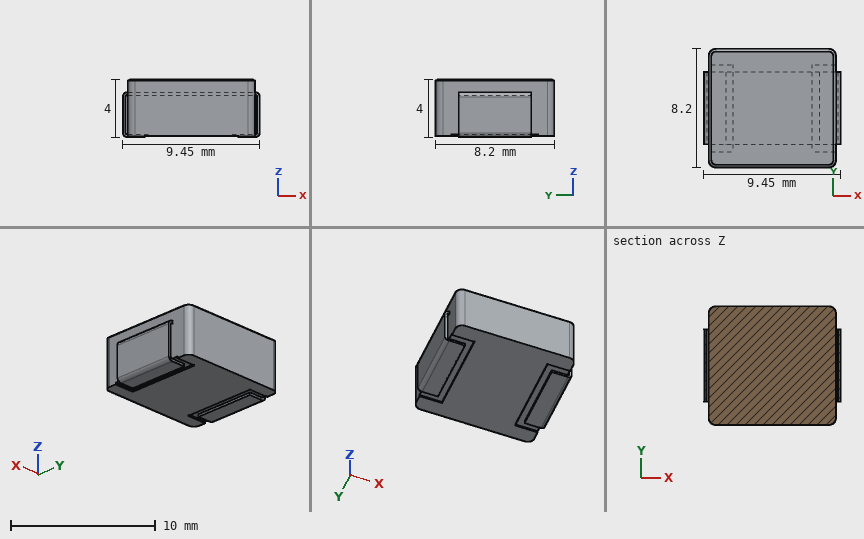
import cadquery as cq

LENGTH = 9.45
HEIGHT = 4.0

HOUSING_LENGTH = 8.8
HOUSING_WIDTH = 8.2
STANDOFF = 0.071
CORNER_RADIUS = 0.5
CHAMFER_INSET = 0.2
CHAMFER_DROP = 0.1

STRIP_THICKNESS = 0.2
STRIP_WIDTH = 5.0
STRIP_TOP = 3.1
BEND_RADIUS = 0.3
FOOT_LENGTH = 1.5

RECESS_CLEARANCE = 0.5

foot_tip_x = LENGTH / 2 - FOOT_LENGTH
inner_bend_radius = BEND_RADIUS - STRIP_THICKNESS


def box_between(x_min, x_max, width, z_min, z_max):
    """Box centred on Y = 0 between the given X and Z limits."""
    box = cq.Workplane("XY").box(x_max - x_min, width, z_max - z_min, centered=(False, True, False))
    return box.translate((x_min, 0, z_min))


def make_lead_frame():
    """Flat strip folded into a ring that is open underneath, between the two feet."""
    outer = box_between(-LENGTH / 2, LENGTH / 2, STRIP_WIDTH, 0, STRIP_TOP)
    outer = outer.edges("|Y").fillet(BEND_RADIUS)

    inner_end = LENGTH / 2 - STRIP_THICKNESS
    inner = box_between(-inner_end, inner_end, STRIP_WIDTH, STRIP_THICKNESS, STRIP_TOP - STRIP_THICKNESS)
    inner = inner.edges("|Y").fillet(inner_bend_radius)

    foot_gap = box_between(-foot_tip_x, foot_tip_x, STRIP_WIDTH, 0, STRIP_THICKNESS)
    return outer.cut(inner).cut(foot_gap)


def make_housing_block():
    """Rounded block with a shallow chamfer around its top face."""
    block = box_between(-HOUSING_LENGTH / 2, HOUSING_LENGTH / 2, HOUSING_WIDTH, STANDOFF, HEIGHT)
    block = block.edges("|Z").fillet(CORNER_RADIUS)
    return block.faces(">Z").chamfer(CHAMFER_DROP, CHAMFER_INSET)


def make_foot_recess():
    """Recess for the +X foot, open to the end wall and the underside."""
    recess_width = STRIP_WIDTH + 2 * RECESS_CLEARANCE
    recess_inner_x = foot_tip_x - RECESS_CLEARANCE
    return box_between(recess_inner_x, HOUSING_LENGTH / 2, recess_width, STANDOFF, STRIP_THICKNESS)


def make_housing():
    """Housing with a recess for each foot and a slot for the strip."""
    recess = make_foot_recess()
    strip_slot = box_between(
        -HOUSING_LENGTH / 2, HOUSING_LENGTH / 2, STRIP_WIDTH, STRIP_TOP - STRIP_THICKNESS, STRIP_TOP
    )
    return make_housing_block().cut(recess).cut(recess.mirror("YZ")).cut(strip_slot)


housing = make_housing()
lead_frame = make_lead_frame()

result = cq.Compound.makeCompound([housing.solids().val(), lead_frame.solids().val()])